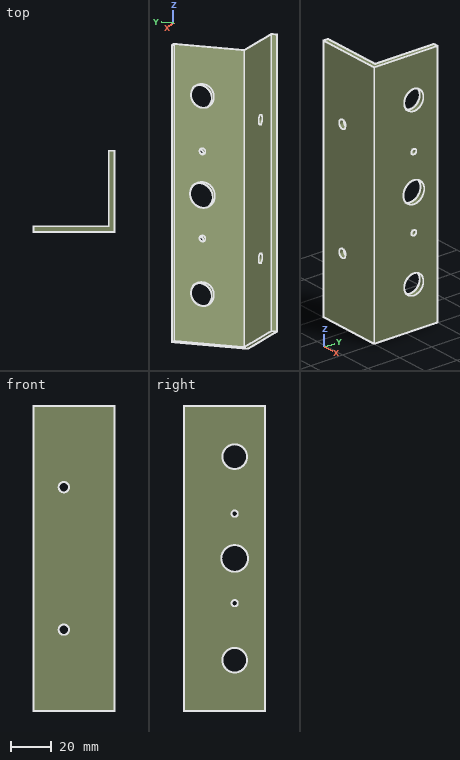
import cadquery as cq

leg = 40.0
thickness = 3.0
length = 150.0
mid_height = length / 2

edge_distance = 15.0

mount_diameter = 5.0
mount_spacing = 70.0

center_diameter = 13.0
outer_diameter = 12.0
outer_spacing = 100.0
screw_diameter = 3.0
screw_spacing = 44.0


def angle_profile():
    """L-section extruded upward: front leg along X, side leg along Y at the +X end."""
    return (
        cq.Workplane("XY")
        .moveTo(0, 0)
        .lineTo(leg, 0)
        .lineTo(leg, leg)
        .lineTo(leg - thickness, leg)
        .lineTo(leg - thickness, thickness)
        .lineTo(0, thickness)
        .close()
        .extrude(length)
    )


def pair_heights(spacing):
    """Heights of two holes placed evenly about the middle of the length."""
    return [mid_height - spacing / 2, mid_height + spacing / 2]


def front_hole(diameter, height):
    """Cutter through the front leg, running along Y."""
    start = cq.Vector(edge_distance, 0, height)
    return cq.Solid.makeCylinder(diameter / 2, thickness, start, cq.Vector(0, 1, 0))


def side_hole(diameter, height):
    """Cutter through the side leg, running along X."""
    start = cq.Vector(leg - thickness, leg - edge_distance, height)
    return cq.Solid.makeCylinder(diameter / 2, thickness, start, cq.Vector(1, 0, 0))


result = angle_profile()

for height in pair_heights(mount_spacing):
    result = result.cut(front_hole(mount_diameter, height))

result = result.cut(side_hole(center_diameter, mid_height))
for diameter, spacing in [(outer_diameter, outer_spacing), (screw_diameter, screw_spacing)]:
    for height in pair_heights(spacing):
        result = result.cut(side_hole(diameter, height))